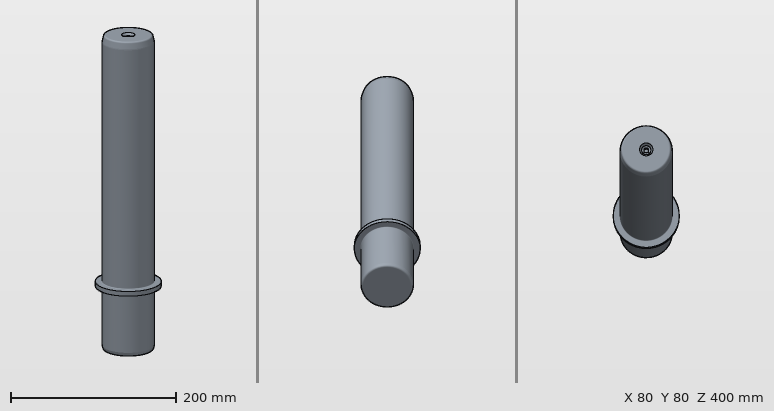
import cadquery as cq
import math

length = 400.0
shaft_radius = 63.5 / 2
collar_radius = 80.0 / 2
collar_bottom = 80.0
collar_top = 86.0
collar_root_fillet = 1.0

lead_height = 9.0
lead_taper = math.radians(13)
top_rim_radius = 2.5
lead_blend_radius = 6.0

foot_height = 5.0
foot_taper = math.radians(15)
foot_rim_radius = 2.5

centre_mouth_radius = 16.0 / 2
centre_cone_radius = 11.0 / 2
centre_bore_radius = 6.0 / 2
centre_mouth_depth = 3.0
centre_cone_depth = 1.0
centre_bore_depth = 6.0


def make_pillar():
    """Revolve the shaft, its collar and its tapered ends about Z."""
    foot_radius = shaft_radius - foot_height * math.tan(foot_taper)
    root_radius = shaft_radius + collar_root_fillet
    top_radius = shaft_radius - lead_height * math.tan(lead_taper)
    lead_bottom = length - lead_height
    profile = (
        cq.Workplane("XZ")
        .moveTo(0, 0)
        .lineTo(foot_radius, 0)
        .lineTo(shaft_radius, foot_height)
        .lineTo(shaft_radius, collar_bottom - collar_root_fillet)
        .radiusArc((root_radius, collar_bottom), collar_root_fillet)
        .lineTo(collar_radius, collar_bottom)
        .lineTo(collar_radius, collar_top)
        .lineTo(root_radius, collar_top)
        .radiusArc((shaft_radius, collar_top + collar_root_fillet), collar_root_fillet)
        .lineTo(shaft_radius, lead_bottom)
        .lineTo(top_radius, length)
        .lineTo(0, length)
        .close()
    )
    pillar = profile.revolve(360, (0, 0, 0), (0, 1, 0))
    lead_edge = cq.selectors.NearestToPointSelector((0, 0, lead_bottom))
    pillar = pillar.edges("%CIRCLE").edges(lead_edge).fillet(lead_blend_radius)
    pillar = pillar.faces(">Z").edges().fillet(top_rim_radius)
    return pillar.faces("<Z").edges().fillet(foot_rim_radius)


def make_centre_hole():
    """Revolve the two-cone centre hole and its short pilot bore."""
    cone_top = length - centre_mouth_depth
    bore_top = cone_top - centre_cone_depth
    bore_bottom = bore_top - centre_bore_depth
    profile = (
        cq.Workplane("XZ")
        .moveTo(0, length)
        .lineTo(centre_mouth_radius, length)
        .lineTo(centre_cone_radius, cone_top)
        .lineTo(centre_bore_radius, bore_top)
        .lineTo(centre_bore_radius, bore_bottom)
        .lineTo(0, bore_bottom)
        .close()
    )
    return profile.revolve(360, (0, 0, 0), (0, 1, 0))


result = make_pillar().cut(make_centre_hole())